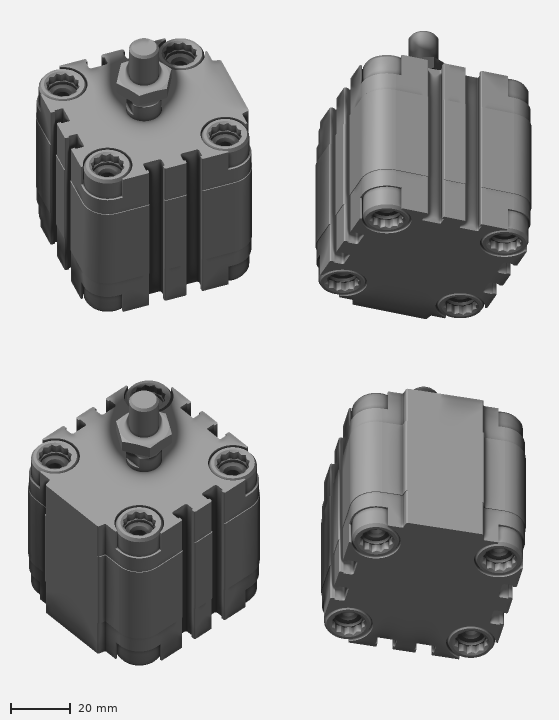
import cadquery as cq
import math

housing_height = 60.5
cap_half = 29.7
sleeve_half = 30.0
sleeve_bottom = 14.5
sleeve_height = housing_height - 2 * sleeve_bottom
bolt_offset = 21.0

rail_face_y = 32.5
rail_top_half = 13.2
rail_base_half = 13.8
rail_tip_fillet = 0.7
rail_root_fillet = 0.45

slot_offset = 6.7
slot_mouth_width = 5.4
slot_inner_width = 6.7
slot_lip_depth = 1.5
side_slot_floor = 24.7
side_mouth_fillet = 0.5
side_floor_fillet = 0.9
front_slot_floor = 25.1
front_slot_fillet = 0.4

pocket_depth = 8.1
pocket_radius = 8.3
pocket_inset = 2.1
head_radius = 8.0
head_bevel_radial = 0.7
head_bevel_height = 1.2

socket_rim_radius = 6.2
socket_flats = 10.0
socket_rim_depth = 0.8
socket_depth = 3.6
socket_floor_depth = 4.8
bolt_hole_diameter = 4.9
bolt_hole_rim_diameter = 6.5
bolt_hole_rim_height = 1.1

rod_top = 89.0
rod_diameter = 12.0
rod_shoulder = 66.9
rod_flats_width = 10.0
rod_flats_bottom = 62.3
neck_diameter = 8.45
thread_diameter = 10.0
thread_bevel_height = 0.9
thread_bottom = 68.6

nut_bottom = 71.0
nut_height = 4.9
nut_flats = 17.0
nut_face_radius = 8.4
nut_corner_drop = 0.4


def rounded_block(half, bottom, height):
    """Square block whose vertical edges are rounded about the bolt axes."""
    return (
        cq.Workplane("XY", origin=(0, 0, bottom))
        .rect(2 * half, 2 * half)
        .extrude(height)
        .edges("|Z")
        .fillet(half - bolt_offset)
    )


def add_rail(block, half, bottom, height):
    """Add the tapered rail to the +Y side of a block, with rounded tips and roots."""
    growth = half - cap_half
    tip_x = rail_top_half + growth
    base_x = rail_base_half + growth
    rail = (
        cq.Workplane("XY", origin=(0, 0, bottom))
        .polyline([
            (-base_x, bolt_offset),
            (base_x, bolt_offset),
            (base_x, half),
            (tip_x, rail_face_y),
            (-tip_x, rail_face_y),
            (-base_x, half),
        ])
        .close()
        .extrude(height)
        .edges("|Z and >Y")
        .fillet(rail_tip_fillet)
    )
    root_zone = cq.selectors.BoxSelector(
        (-base_x - rail_root_fillet, half - rail_root_fillet, bottom),
        (base_x + rail_root_fillet, half + rail_root_fillet, bottom + height),
    )
    return block.union(rail).edges("|Z").edges(root_zone).fillet(rail_root_fillet)


def make_slot(face_half, floor_half, mouth_radius, floor_radius):
    """T-slot cutter that opens to -Y, is centred on X = 0 and has a rounded mouth."""
    lip_half = cap_half - slot_lip_depth
    cavity = (
        cq.Workplane("XY")
        .center(0, -(lip_half + floor_half) / 2)
        .rect(slot_inner_width, lip_half - floor_half)
        .extrude(housing_height)
        .edges("|Z and >Y")
        .fillet(floor_radius)
    )
    wall_x = slot_mouth_width / 2
    flare_x = wall_x + mouth_radius
    wall_end_y = mouth_radius - face_half
    arc_inset = mouth_radius * (1 - math.sqrt(0.5))
    mouth = (
        cq.Workplane("XY")
        .moveTo(-wall_x, -lip_half)
        .lineTo(-wall_x, wall_end_y)
        .threePointArc((-wall_x - arc_inset, arc_inset - face_half), (-flare_x, -face_half))
        .lineTo(flare_x, -face_half)
        .threePointArc((wall_x + arc_inset, arc_inset - face_half), (wall_x, wall_end_y))
        .lineTo(wall_x, -lip_half)
        .close()
        .extrude(housing_height)
    )
    return cavity.union(mouth)


def profile_block(half, bottom, height):
    """One length of the housing: rounded block, rail and the slots of three sides."""
    block = add_rail(rounded_block(half, bottom, height), half, bottom, height)
    side_slot = make_slot(half, side_slot_floor, side_mouth_fillet, side_floor_fillet)
    front_slot = make_slot(half, front_slot_floor, front_slot_fillet, front_slot_fillet)
    for turn, slot in ((-90, side_slot), (0, front_slot), (90, side_slot)):
        for offset in (-slot_offset, slot_offset):
            block = block.cut(slot.translate((offset, 0, 0)).rotate((0, 0, 0), (0, 0, 1), turn))
    return block


def cone(bottom_radius, top_radius, bottom, height):
    """Upright truncated cone on the Z axis."""
    base = cq.Vector(0, 0, bottom)
    return cq.Workplane(cq.Solid.makeCone(bottom_radius, top_radius, height, base))


def hexagon(flats, bottom, height, turn):
    """Hexagonal prism on the Z axis, with a corner at the given angle."""
    return (
        cq.Workplane("XY", origin=(0, 0, bottom))
        .polygon(6, flats / math.cos(math.pi / 6))
        .extrude(height)
        .rotate((0, 0, 0), (0, 0, 1), turn)
    )


def make_pocket():
    """Ring around a bolt head, opened to the +X +Y corner, at the top end."""
    bottom = housing_height - pocket_depth
    reach = sleeve_half - bolt_offset + pocket_inset
    pocket = cq.Workplane("XY", origin=(0, 0, bottom)).circle(pocket_radius).extrude(pocket_depth)
    corner = (
        cq.Workplane("XY", origin=(-pocket_inset, -pocket_inset, bottom))
        .rect(reach, reach, centered=False)
        .extrude(pocket_depth)
    )
    head = cq.Workplane("XY", origin=(0, 0, bottom)).circle(head_radius).extrude(pocket_depth)
    head = head.faces(">Z").chamfer(head_bevel_height, head_bevel_radial)
    return pocket.union(corner).cut(head)


def make_socket():
    """Countersunk twelve-point socket with a round floor, at the top end."""
    rim_bottom = housing_height - socket_rim_depth
    hex_bottom = housing_height - socket_depth
    floor = housing_height - socket_floor_depth
    flat_radius = socket_flats / 2
    points = hexagon(socket_flats, hex_bottom, socket_depth, 0)
    points = points.union(hexagon(socket_flats, hex_bottom, socket_depth, 30))
    floor_bore = cq.Workplane("XY", origin=(0, 0, floor)).circle(flat_radius).extrude(socket_floor_depth)
    rim = cone(flat_radius, socket_rim_radius, rim_bottom, socket_rim_depth)
    hole_rim = cone(
        bolt_hole_diameter / 2,
        bolt_hole_rim_diameter / 2,
        floor - bolt_hole_rim_height,
        bolt_hole_rim_height,
    )
    return points.union(floor_bore).union(rim).union(hole_rim)


def make_housing():
    body = profile_block(cap_half, 0, housing_height)
    body = body.union(profile_block(sleeve_half, sleeve_bottom, sleeve_height))

    top_recess = make_pocket().union(make_socket())
    bottom_recess = top_recess.mirror("XY").translate((0, 0, housing_height))
    bolt_hole = cq.Workplane("XY").circle(bolt_hole_diameter / 2).extrude(housing_height)
    corner_cutter = top_recess.union(bottom_recess).union(bolt_hole)
    corner_cutter = corner_cutter.translate((bolt_offset, bolt_offset, 0))
    for turn in range(0, 360, 90):
        body = body.cut(corner_cutter.rotate((0, 0, 0), (0, 0, 1), turn))
    return body


def make_rod():
    """Stepped rod with two wrench flats, an undercut neck and a threaded end."""
    neck_radius = neck_diameter / 2
    thread_radius = thread_diameter / 2
    rod_radius = rod_diameter / 2
    rod = (
        cq.Workplane("XZ")
        .polyline([
            (0, housing_height),
            (rod_radius, housing_height),
            (rod_radius, rod_shoulder),
            (neck_radius, rod_shoulder),
            (neck_radius, thread_bottom),
            (thread_radius, thread_bottom + thread_bevel_height),
            (thread_radius, rod_top - thread_bevel_height),
            (neck_radius, rod_top),
            (0, rod_top),
        ])
        .close()
        .revolve(360, (0, 0, 0), (0, 1, 0))
    )
    flats_height = rod_shoulder - rod_flats_bottom
    for side in (-1, 1):
        flat_cut = (
            cq.Workplane("XY", origin=(0, side * (rod_flats_width + rod_diameter) / 2, rod_flats_bottom))
            .rect(rod_diameter, rod_diameter)
            .extrude(flats_height)
        )
        rod = rod.cut(flat_cut)
    return rod


def make_nut():
    """Hexagon nut, bevelled on both faces, with a corner on the Y axis."""
    corner_radius = nut_flats / 2 / math.cos(math.pi / 6)
    nut_top = nut_bottom + nut_height
    bevelled = (
        cq.Workplane("XZ")
        .polyline([
            (0, nut_bottom),
            (nut_face_radius, nut_bottom),
            (corner_radius, nut_bottom + nut_corner_drop),
            (corner_radius, nut_top - nut_corner_drop),
            (nut_face_radius, nut_top),
            (0, nut_top),
        ])
        .close()
        .revolve(360, (0, 0, 0), (0, 1, 0))
    )
    thread = cq.Workplane("XY", origin=(0, 0, nut_bottom)).circle(thread_diameter / 2).extrude(nut_height)
    return hexagon(nut_flats, nut_bottom, nut_height, 30).intersect(bevelled).cut(thread)


housing = make_housing()
rod = make_rod()
nut = make_nut()

result = cq.Compound.makeCompound([housing.val(), rod.val(), nut.val()])